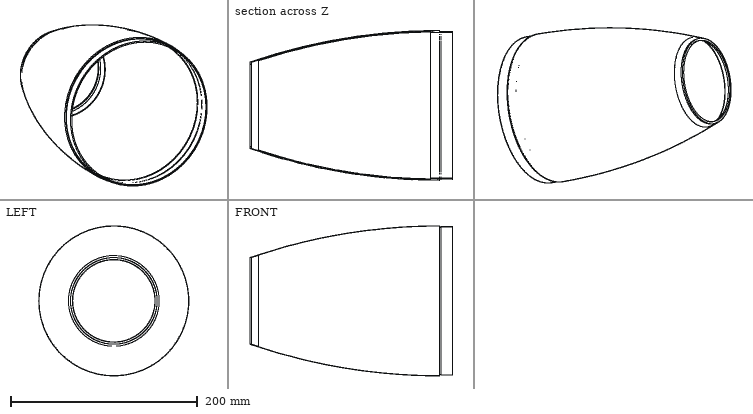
import cadquery as cq
import math

total_length = 217.3
body_length = 203.5
nose_radius = 46.5
body_radius = 80.5
collar_radius = 79.5
wall = 1.5
lip_wall = 2.4
groove_width = 1.5
groove_depth = 0.5
lip_length = 2.0
relief_end = 9.1
relief_depth = 0.7
sleeve_overlap = 10.0
sleeve_wall = 2.4

nose_x = -total_length / 2
collar_end_x = total_length / 2
body_end_x = nose_x + body_length
groove_end_x = body_end_x + groove_width
lip_end_x = nose_x + lip_length
relief_end_x = nose_x + relief_end
sleeve_start_x = body_end_x - sleeve_overlap

radius_gain = body_radius - nose_radius
arc_radius = (body_length**2 + radius_gain**2) / (2 * radius_gain)
arc_center_y = body_radius - arc_radius


def arc_point(x, offset=0.0):
    """Point at x on the body arc, moved inward by offset."""
    radius = arc_radius - offset
    return (x, arc_center_y + math.sqrt(radius**2 - (x - body_end_x) ** 2))


middle_x = (nose_x + body_end_x) / 2
lip_radius = nose_radius - lip_wall
sleeve_radius = body_radius - sleeve_wall
relief_wall = wall - relief_depth
groove_radius = collar_radius - groove_depth

profile = (
    cq.Workplane("XY")
    .moveTo(nose_x, lip_radius)
    .lineTo(nose_x, nose_radius)
    .threePointArc(arc_point(middle_x), (body_end_x, body_radius))
    .lineTo(body_end_x, groove_radius)
    .lineTo(groove_end_x, groove_radius)
    .lineTo(groove_end_x, collar_radius)
    .lineTo(collar_end_x, collar_radius)
    .lineTo(collar_end_x, sleeve_radius)
    .lineTo(sleeve_start_x, sleeve_radius)
    .lineTo(*arc_point(sleeve_start_x, wall))
    .threePointArc(arc_point(middle_x, wall), arc_point(relief_end_x, wall))
    .lineTo(*arc_point(relief_end_x, relief_wall))
    .threePointArc(
        arc_point((lip_end_x + relief_end_x) / 2, relief_wall),
        arc_point(lip_end_x, relief_wall),
    )
    .lineTo(lip_end_x, lip_radius)
    .close()
)

result = profile.revolve(360, (0, 0, 0), (1, 0, 0))